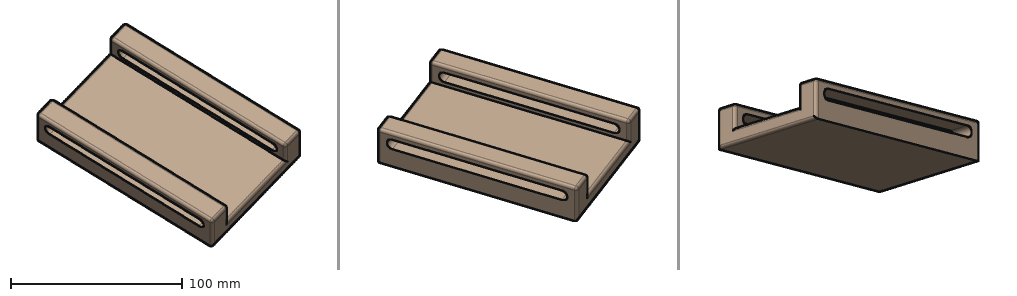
import cadquery as cq

length = 130.0
width = 85.0
height = 25.0

wall_thickness = 15.0
floor_thickness = 10.0
edge_radius = 2.0

slot_length = 117.0
slot_height = 7.0
slot_center_height = 16.5

channel_width = width - 2 * wall_thickness


def make_channel():
    """U-shaped body with rounded edges, sharp inside corners and sharp long bottom edges."""
    block = cq.Workplane("XY").box(length, width, height, centered=(True, True, False))
    channel = (
        cq.Workplane("XY")
        .workplane(offset=floor_thickness)
        .box(length, channel_width, height, centered=(True, True, False))
    )
    body = block.cut(channel)
    lengthwise = cq.selectors.ParallelDirSelector(cq.Vector(1, 0, 0))
    inside_corners = cq.selectors.BoxSelector(
        (-length, -width / 2 + edge_radius, floor_thickness - edge_radius),
        (length, width / 2 - edge_radius, floor_thickness + edge_radius),
    )
    underside = cq.selectors.DirectionMinMaxSelector(cq.Vector(0, 0, 1), False)
    sharp_edges = cq.selectors.AndSelector(
        lengthwise, cq.selectors.SumSelector(inside_corners, underside)
    )
    rounded_edges = cq.selectors.SubtractSelector(cq.selectors.TypeSelector("LINE"), sharp_edges)
    return body.edges(rounded_edges).fillet(edge_radius)


def make_slot():
    """Round-ended cutter that passes through both walls along Y."""
    return (
        cq.Workplane("XZ")
        .center(0, slot_center_height)
        .slot2D(slot_length, slot_height)
        .extrude(width, both=True)
    )


result = make_channel().cut(make_slot())